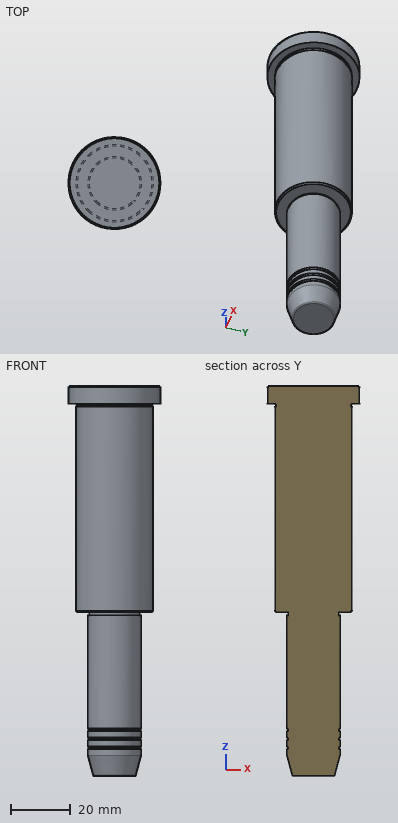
import cadquery as cq
import math

total_length = 131.0
head_diameter = 31.0
head_height = 6.0
head_chamfer = 0.5
body_diameter = 26.0
body_length = 70.0
body_chamfer = 0.5
shaft_diameter = 18.0

undercut_width = 1.0
undercut_depth = 0.5

groove_width = 1.0
groove_depth = 0.5
groove_count = 3
groove_pitch = 3.0
lowest_groove_bottom = 9.0

nose_length = 7.0
nose_taper_angle = 15.0
nose_fillet = 0.5

head_radius = head_diameter / 2
body_radius = body_diameter / 2
shaft_radius = shaft_diameter / 2
nose_end_radius = shaft_radius - nose_length * math.tan(math.radians(nose_taper_angle))
head_bottom = total_length - head_height
body_bottom = head_bottom - body_length


def revolve_profile(points):
    """Turn a closed outline of (radius, height) points about Z."""
    return cq.Workplane("XZ").polyline(points).close().revolve(360, (0, 0), (0, 1))


def cylinder(radius, bottom, top):
    return revolve_profile([(0, bottom), (radius, bottom), (radius, top), (0, top)])


def v_groove(radius, bottom):
    """V-section ring that removes a groove from a cylinder of the given radius."""
    root = (radius - groove_depth, bottom + groove_width / 2)
    return revolve_profile([(radius, bottom), (radius, bottom + groove_width), root])


def make_head():
    head = cylinder(head_radius, head_bottom, total_length)
    return head.faces(">Z").edges().chamfer(head_chamfer)


def make_body():
    body = cylinder(body_radius, body_bottom, head_bottom)
    body = body.faces("<Z").edges().chamfer(body_chamfer)
    return body.cut(v_groove(body_radius, head_bottom - groove_width))


def make_shaft():
    undercut_bottom = body_bottom - undercut_width
    shaft = cylinder(shaft_radius, nose_length, undercut_bottom)
    for index in range(groove_count):
        shaft = shaft.cut(v_groove(shaft_radius, lowest_groove_bottom + index * groove_pitch))
    undercut_neck = cylinder(shaft_radius - undercut_depth, undercut_bottom, body_bottom)
    return shaft.union(undercut_neck)


def make_nose():
    nose = revolve_profile(
        [(0, 0), (nose_end_radius, 0), (shaft_radius, nose_length), (0, nose_length)]
    )
    return nose.faces("<Z").edges().fillet(nose_fillet)


result = make_head().union(make_body()).union(make_shaft()).union(make_nose())